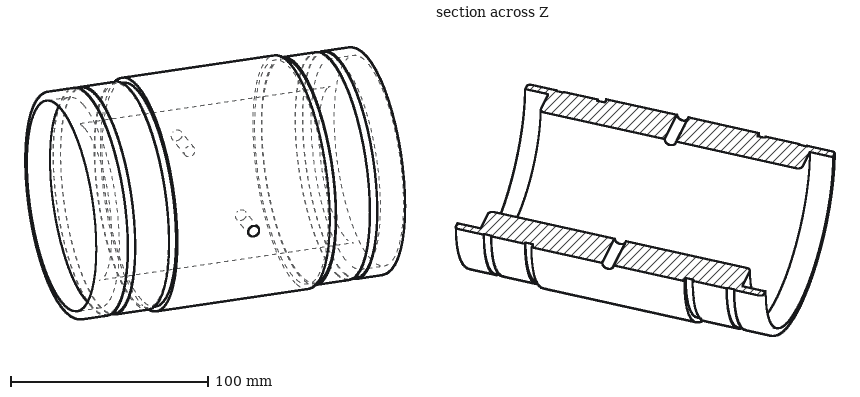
import cadquery as cq

length = 164.6
middle_radius = 60.0
end_radius = 58.5
bore_radius = 40.0

recess_radius = 54.0
recess_depth = 12.3

groove_width = 4.0
ring_groove_start = 15.5
ring_groove_radius = 58.0
relief_groove_start = 37.5
relief_groove_radius = 57.5
middle_start = relief_groove_start + groove_width

end_fillet = 2.0
bore_fillet = 2.5
cross_hole_diameter = 6.0


def cylinder(radius, start, end):
    """Solid cylinder along Y between two Y positions."""
    return cq.Workplane("XZ", origin=(0, start, 0)).circle(radius).extrude(start - end)


def ring_cutter(floor_radius, start):
    """Ring that cuts a groove down to floor_radius, beginning at a Y position."""
    outer = cylinder(middle_radius, start, start + groove_width)
    return outer.cut(cylinder(floor_radius, start, start + groove_width))


half_length = length / 2

body = cylinder(end_radius, -half_length, half_length)
body = body.faces("<Y or >Y").edges().fillet(end_fillet)
middle_end = half_length - middle_start
body = body.union(cylinder(middle_radius, -middle_end, middle_end))

shoulder = half_length - recess_depth
core = cylinder(recess_radius, -shoulder, shoulder)
core = core.cut(cylinder(bore_radius, -shoulder, shoulder))
core = core.faces("<Y or >Y").edges(cq.selectors.RadiusNthSelector(0)).fillet(bore_fillet)
body = body.cut(cylinder(recess_radius, -half_length, half_length)).union(core)

for start, floor_radius in (
    (ring_groove_start, ring_groove_radius),
    (relief_groove_start, relief_groove_radius),
):
    body = body.cut(ring_cutter(floor_radius, start - half_length))
    body = body.cut(ring_cutter(floor_radius, half_length - start - groove_width))

cross_hole = cq.Workplane("YZ").circle(cross_hole_diameter / 2).extrude(length, both=True)
result = body.cut(cross_hole)